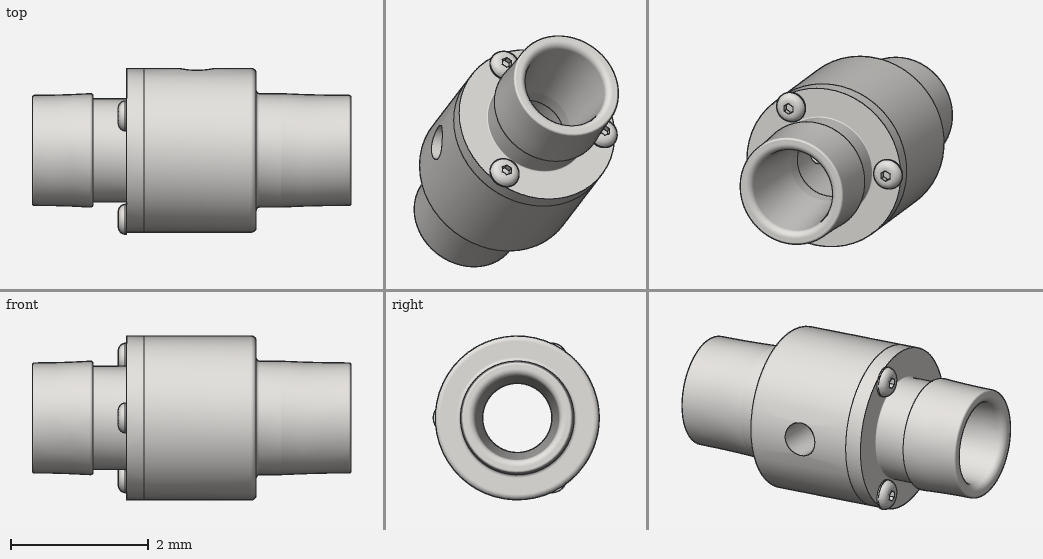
import cadquery as cq
import math

OVERALL_LENGTH = 4.62
BODY_RADIUS = 2.38 / 2
BODY_END_X = 1.88
BODY_END_FILLET = 0.075
FLANGE_THICKNESS = 0.25

BORE_RADIUS = 1.0 / 2
TIP_RADIUS = 1.6 / 2
BARB_RADIUS = 1.65 / 2
TIP_FILLET = 0.03
MOUTH_RADIUS = 1.22 / 2
MOUTH_FILLET = 0.1
BORE_TAPER_LENGTH = 1.365

LEFT_TIP_X = -1.365
BARB_START_X = -0.525
BARB_FILLET = 0.04
NECK_RADIUS = 1.5 / 2
NECK_FILLET = 0.015

RIGHT_TIP_X = LEFT_TIP_X + OVERALL_LENGTH
RIGHT_TAPER_X = 2.24
RIGHT_ROOT_FILLET = 0.05

PORT_DIAMETER = 0.5
PORT_X = 1.02

SCREW_COUNT = 3
SCREW_CIRCLE_RADIUS = 1.0
SCREW_FIRST_ANGLE = 180
HEAD_RADIUS = 0.44 / 2
HEAD_HEIGHT = 0.122
HEAD_RIM_HEIGHT = 0.025
HEAD_TOP_RADIUS = 0.185 / 2
HEAD_DOME_RADIUS = 0.115
SHANK_RADIUS = 0.25 / 2
SHANK_LENGTH = 0.75
SOCKET_ACROSS_FLATS = 0.135
SOCKET_DEPTH = 0.1


def revolve_about_x(profile):
    """Close a profile of (X, radius) points and turn it around the X axis."""
    return profile.close().revolve(360, (0, 0, 0), (1, 0, 0))


def tube_nose(length):
    """Solid tube end with its tip at X = 0, flaring to the barb radius over its length."""
    profile = (
        cq.Workplane("XY")
        .lineTo(0, TIP_RADIUS - TIP_FILLET)
        .tangentArcPoint((TIP_FILLET, TIP_RADIUS), relative=False)
        .tangentArcPoint((length, BARB_RADIUS), relative=False)
        .lineTo(length, 0)
    )
    return revolve_about_x(profile)


def nose_bore():
    """Cutter for the mouth of a tube end, narrowing to the bore radius."""
    mouth_edge_radius = MOUTH_RADIUS + MOUTH_FILLET
    profile = (
        cq.Workplane("XY")
        .moveTo(-MOUTH_FILLET, 0)
        .lineTo(-MOUTH_FILLET, mouth_edge_radius)
        .lineTo(0, mouth_edge_radius)
        .radiusArc((MOUTH_FILLET, MOUTH_RADIUS), -MOUTH_FILLET)
        .lineTo(BORE_TAPER_LENGTH, BORE_RADIUS)
        .lineTo(BORE_TAPER_LENGTH, 0)
    )
    return revolve_about_x(profile)


def place_left(shape):
    """Move a tube-end shape to the left tip."""
    return shape.translate((LEFT_TIP_X, 0, 0))


def place_right(shape):
    """Turn a tube-end shape around and move it to the right tip."""
    return shape.mirror("YZ").translate((RIGHT_TIP_X, 0, 0))


def straight_bore():
    """Cutter for the bore through the whole part."""
    plane = cq.Workplane("YZ", origin=(LEFT_TIP_X, 0, 0))
    return plane.circle(BORE_RADIUS).extrude(OVERALL_LENGTH)


def screw_locations():
    """Y and Z of each screw axis."""
    locations = []
    for index in range(SCREW_COUNT):
        angle = math.radians(SCREW_FIRST_ANGLE + index * 360 / SCREW_COUNT)
        locations.append((SCREW_CIRCLE_RADIUS * math.cos(angle), SCREW_CIRCLE_RADIUS * math.sin(angle)))
    return locations


def screw_holes():
    """Cutters that match the screw shanks."""
    return cq.Workplane("YZ").pushPoints(screw_locations()).circle(SHANK_RADIUS).extrude(SHANK_LENGTH)


def make_cap():
    """Flange, neck and barbed left tube."""
    nose_length = BARB_START_X - LEFT_TIP_X
    barb_end_x = BARB_START_X + BARB_FILLET
    profile = (
        cq.Workplane("XY")
        .moveTo(BARB_START_X, 0)
        .lineTo(BARB_START_X, BARB_RADIUS)
        .radiusArc((barb_end_x, BARB_RADIUS - BARB_FILLET), BARB_FILLET)
        .lineTo(barb_end_x, NECK_RADIUS)
        .lineTo(-NECK_FILLET, NECK_RADIUS)
        .radiusArc((0, NECK_RADIUS + NECK_FILLET), -NECK_FILLET)
        .lineTo(0, BODY_RADIUS)
        .lineTo(FLANGE_THICKNESS, BODY_RADIUS)
        .lineTo(FLANGE_THICKNESS, 0)
    )
    outside = revolve_about_x(profile).union(place_left(tube_nose(nose_length)))
    return outside.cut(place_left(nose_bore())).cut(straight_bore()).cut(screw_holes())


def make_housing():
    """Main barrel and right tube, with the radial port."""
    nose_length = RIGHT_TIP_X - RIGHT_TAPER_X
    profile = (
        cq.Workplane("XY")
        .moveTo(FLANGE_THICKNESS, 0)
        .lineTo(FLANGE_THICKNESS, BODY_RADIUS)
        .lineTo(BODY_END_X - BODY_END_FILLET, BODY_RADIUS)
        .radiusArc((BODY_END_X, BODY_RADIUS - BODY_END_FILLET), BODY_END_FILLET)
        .lineTo(BODY_END_X, BARB_RADIUS + RIGHT_ROOT_FILLET)
        .radiusArc((BODY_END_X + RIGHT_ROOT_FILLET, BARB_RADIUS), -RIGHT_ROOT_FILLET)
        .lineTo(RIGHT_TAPER_X, BARB_RADIUS)
        .lineTo(RIGHT_TAPER_X, 0)
    )
    outside = revolve_about_x(profile).union(place_right(tube_nose(nose_length)))
    port = cq.Workplane("XZ", origin=(PORT_X, 0, 0)).circle(PORT_DIAMETER / 2).extrude(-BODY_RADIUS)
    housing = outside.cut(place_right(nose_bore())).cut(straight_bore())
    return housing.cut(screw_holes()).cut(port)


def make_screw():
    """Button-head screw about the X axis, seated at X = 0, with a hexagon socket."""
    profile = (
        cq.Workplane("XY")
        .moveTo(-HEAD_HEIGHT, 0)
        .lineTo(-HEAD_HEIGHT, HEAD_TOP_RADIUS)
        .radiusArc((-HEAD_RIM_HEIGHT, HEAD_RADIUS), HEAD_DOME_RADIUS)
        .lineTo(0, HEAD_RADIUS)
        .lineTo(0, SHANK_RADIUS)
        .lineTo(SHANK_LENGTH, SHANK_RADIUS)
        .lineTo(SHANK_LENGTH, 0)
    )
    socket = (
        cq.Workplane("YZ", origin=(-HEAD_HEIGHT, 0, 0))
        .polygon(6, SOCKET_ACROSS_FLATS, circumscribed=True)
        .extrude(SOCKET_DEPTH)
    )
    return revolve_about_x(profile).cut(socket)


cap = make_cap()
housing = make_housing()
screws = [make_screw().translate((0, y, z)) for y, z in screw_locations()]

result = cq.Compound.makeCompound([cap.val(), housing.val(), *[screw.val() for screw in screws]])